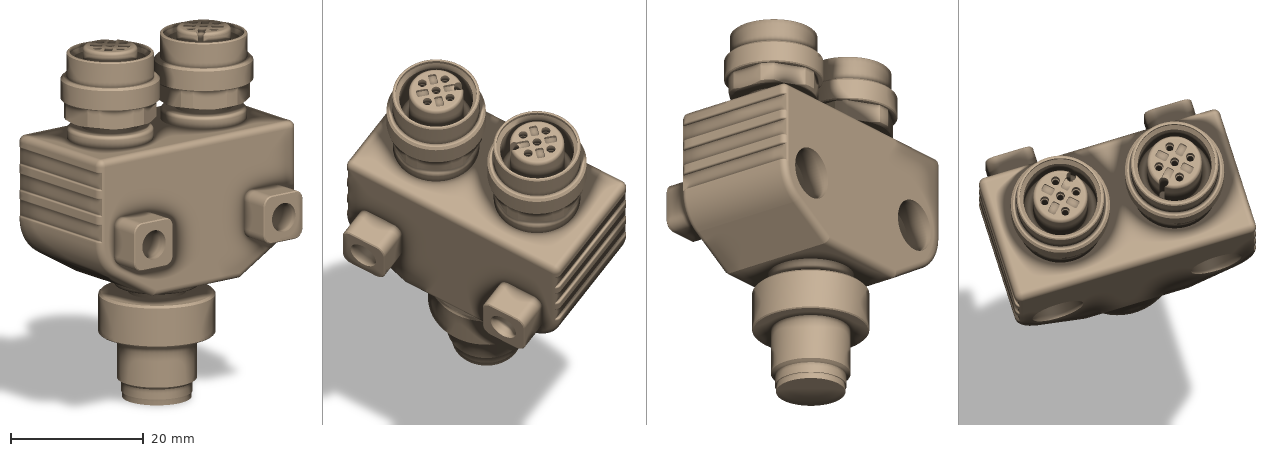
import cadquery as cq
import math

TOLERANCE = 0.005


HOUSING_DEPTH = 20.05
HOUSING_WIDTH = 38.0
HOUSING_BOTTOM = 19.1
HOUSING_TOP = 42.0
HOUSING_FILLET = 1.0
SLOPE_ANGLE = math.radians(30)

MOUNT_Y = 12.5
MOUNT_Z = 29.0
MOUNT_HOLE_RADIUS = 2.25
RECESS_RADIUS = 4.0
RECESS_DEPTH = 4.5
FOOT_SIZE = 7.5
FOOT_LENGTH = 4.95
FOOT_CORNER_RADIUS = 1.5
FOOT_END_CHAMFER = 0.15

GROOVE_COUNT = 3
GROOVE_PITCH = 4.05
GROOVE_HEIGHT = 2.5
GROOVE_DEPTH = 0.5
GROOVE_EDGE_RADIUS = 0.2
FIRST_GROOVE_Z = 38.75

COLLAR_RADIUS = 6.55
COLLAR_FILLET = 0.5
UPPER_COLLAR_TOP = 43.8
LOWER_COLLAR_BOTTOM = 17.55

SOCKET_Y = 9.0
NECK_RADIUS = 4.35
SOCKET_TOP = 56.3
SOCKET_RADIUS = 4.1
SOCKET_EDGE_FILLET = 0.5
CONTACT_RADIUS = 0.5
CONTACT_MOUTH_RADIUS = 0.7
CONTACT_MOUTH_DEPTH = 1.1
CONTACT_SPACING = 2.5
CONTACT_DEPTH = 5.65
POCKET_INNER = 1.2
POCKET_OUTER = 3.05
POCKET_WIDTH = 1.25
POCKET_DEPTH = 0.45
POCKET_CORNER_RADIUS = 0.3
KEYWAY_RADIUS = 0.75
KEYWAY_OFFSET = 3.5
KEYWAY_ANGLE = -45

NUT_BOTTOM = 45.0
NUT_TOP = 55.4
NUT_SLEEVE_RADIUS = 6.6
NUT_BAND_RADIUS = 7.5
NUT_BAND_BOTTOM = 48.0
NUT_BAND_TOP = 51.55
NUT_BAND_CHAMFER = 0.35
NUT_EDGE_CHAMFER = 0.15
NUT_BORE_RADIUS = 5.6
NUT_MOUTH_RADIUS = 6.15
NUT_MOUTH_DEPTH = 0.5
HEX_HALF_FLATS = 6.5
HEX_CORNER_RADIUS = 7.0
HEX_CHAMFER_HEIGHT = 0.3

SEAL_SECTION_RADIUS = (NUT_BORE_RADIUS - SOCKET_RADIUS) / 2
SEAL_RADIUS = (NUT_BORE_RADIUS + SOCKET_RADIUS) / 2

PLUG_HEAD_RADIUS = 5.25
PLUG_HEAD_HEIGHT = 0.95
PLUG_NUT_TOP = 16.45
PLUG_GRIP_RADIUS = 8.85
PLUG_GRIP_BOTTOM = 10.0
PLUG_GRIP_TOP_CHAMFER = 0.35
PLUG_GRIP_LOW_CHAMFER = 0.15
PLUG_THREAD_RADIUS = 6.0
PLUG_THREAD_BOTTOM = 3.0
PLUG_END_RADIUS = 5.4
PLUG_END_TOP = 2.55


def cylinder(radius, bottom, top, y=0.0):
    """Upright cylinder between two heights."""
    return cq.Workplane("XY", origin=(0, y, bottom)).circle(radius).extrude(top - bottom)


def turned(profile):
    """Solid turned about the Z axis from (radius, height) points."""
    return cq.Workplane("XZ").polyline(profile).close().revolve(360, (0, 0), (0, 1))



def housing_block():
    half_width = HOUSING_WIDTH / 2
    shoulder_radius = half_width - MOUNT_Y

    def on_shoulder(angle):
        return (
            MOUNT_Y + shoulder_radius * math.cos(angle),
            MOUNT_Z - shoulder_radius * math.sin(angle),
        )

    arc_angle = math.pi / 2 - SLOPE_ANGLE
    arc_end = on_shoulder(arc_angle)
    arc_middle = on_shoulder(arc_angle / 2)
    base_half_width = arc_end[0] - (arc_end[1] - HOUSING_BOTTOM) / math.tan(SLOPE_ANGLE)
    outline = (
        cq.Workplane("YZ", origin=(-HOUSING_DEPTH / 2, 0, 0))
        .moveTo(-half_width, HOUSING_TOP)
        .lineTo(half_width, HOUSING_TOP)
        .lineTo(half_width, MOUNT_Z)
        .threePointArc(arc_middle, arc_end)
        .lineTo(base_half_width, HOUSING_BOTTOM)
        .lineTo(-base_half_width, HOUSING_BOTTOM)
        .lineTo(-arc_end[0], arc_end[1])
        .threePointArc((-arc_middle[0], arc_middle[1]), (-half_width, MOUNT_Z))
        .close()
    )
    block = outline.extrude(HOUSING_DEPTH)
    return block.faces("<X or >X or >Z").edges().fillet(HOUSING_FILLET)


def cut_grip_grooves(block):
    """Cut the square grooves on both narrow sides, then round the edges of their mouths."""
    half_height = GROOVE_HEIGHT / 2
    floor_y = HOUSING_WIDTH / 2 - GROOVE_DEPTH
    for index in range(GROOVE_COUNT):
        z = FIRST_GROOVE_Z - index * GROOVE_PITCH
        for side in (-1, 1):
            cutter = cq.Workplane("XY").box(HOUSING_DEPTH, 2 * GROOVE_DEPTH, GROOVE_HEIGHT)
            block = block.cut(cutter.translate((0, side * HOUSING_WIDTH / 2, z)))
    for index in range(GROOVE_COUNT):
        z = FIRST_GROOVE_Z - index * GROOVE_PITCH
        for wall_z in (z + half_height, z - half_height):
            mouth_edges = [
                edge for edge in block.edges("#Z").vals()
                if abs(edge.Center().z - wall_z) < TOLERANCE
                and abs(edge.Center().y) > floor_y + TOLERANCE
            ]
            block = block.newObject(mouth_edges).fillet(GROOVE_EDGE_RADIUS)
    return block


def mounting_foot(y):
    back = HOUSING_DEPTH / 2
    foot = (
        cq.Workplane("YZ", origin=(back, y, MOUNT_Z))
        .rect(FOOT_SIZE, FOOT_SIZE)
        .extrude(FOOT_LENGTH)
        .edges("|X")
        .fillet(FOOT_CORNER_RADIUS)
    )
    return foot.faces(">X").edges().chamfer(FOOT_END_CHAMFER)


def mounting_hole(y):
    """Cutter for a through hole with a screw-head recess on the -X face."""
    front = cq.Workplane("YZ", origin=(-HOUSING_DEPTH / 2, y, MOUNT_Z))
    hole = front.circle(MOUNT_HOLE_RADIUS).extrude(HOUSING_DEPTH + FOOT_LENGTH)
    return hole.union(front.circle(RECESS_RADIUS).extrude(RECESS_DEPTH))


def make_housing():
    body = cut_grip_grooves(housing_block())
    for side in (-1, 1):
        body = body.union(mounting_foot(side * MOUNT_Y))
        collar = cylinder(COLLAR_RADIUS, HOUSING_TOP, UPPER_COLLAR_TOP, side * SOCKET_Y)
        body = body.union(collar.faces(">Z").edges().fillet(COLLAR_FILLET))
    lower_collar = cylinder(COLLAR_RADIUS, LOWER_COLLAR_BOTTOM, HOUSING_BOTTOM)
    body = body.union(lower_collar.faces("<Z").edges().fillet(COLLAR_FILLET))
    for side in (-1, 1):
        body = body.cut(mounting_hole(side * MOUNT_Y))
    return body



def contact_hole(x, y):
    """Cutter for a contact hole with a wider mouth."""
    profile = [
        (0, SOCKET_TOP - CONTACT_DEPTH),
        (CONTACT_RADIUS, SOCKET_TOP - CONTACT_DEPTH),
        (CONTACT_RADIUS, SOCKET_TOP - CONTACT_MOUTH_DEPTH),
        (CONTACT_MOUTH_RADIUS, SOCKET_TOP - CONTACT_MOUTH_DEPTH),
        (CONTACT_MOUTH_RADIUS, SOCKET_TOP),
        (0, SOCKET_TOP),
    ]
    return turned(profile).translate((x, y, 0))


def make_socket():
    body = cylinder(SOCKET_RADIUS, NUT_BAND_BOTTOM, SOCKET_TOP)
    body = body.faces(">Z").edges().fillet(SOCKET_EDGE_FILLET)
    body = body.union(cylinder(NECK_RADIUS, UPPER_COLLAR_TOP, NUT_BAND_BOTTOM))

    spots = [
        (0, 0),
        (CONTACT_SPACING, 0),
        (-CONTACT_SPACING, 0),
        (0, CONTACT_SPACING),
        (0, -CONTACT_SPACING),
    ]
    for x, y in spots:
        body = body.cut(contact_hole(x, y))

    for quarter in range(4):
        angle = KEYWAY_ANGLE + 90 * quarter
        pocket = (
            cq.Workplane("XY", origin=(0, 0, SOCKET_TOP - POCKET_DEPTH))
            .center((POCKET_INNER + POCKET_OUTER) / 2, 0)
            .rect(POCKET_OUTER - POCKET_INNER, POCKET_WIDTH)
            .extrude(POCKET_DEPTH)
            .edges("|Z")
            .fillet(POCKET_CORNER_RADIUS)
        )
        body = body.cut(pocket.rotate((0, 0, 0), (0, 0, 1), angle))

    keyway = (
        cq.Workplane("XY", origin=(0, 0, NUT_BAND_BOTTOM))
        .center(KEYWAY_OFFSET, 0)
        .circle(KEYWAY_RADIUS)
        .extrude(SOCKET_TOP - NUT_BAND_BOTTOM)
    )
    return body.cut(keyway.rotate((0, 0, 0), (0, 0, 1), KEYWAY_ANGLE))


def make_socket_nut():
    hexagon = (
        cq.Workplane("XY", origin=(0, 0, NUT_BOTTOM))
        .polygon(6, 2 * HEX_HALF_FLATS, circumscribed=True)
        .extrude(NUT_BAND_BOTTOM - NUT_BOTTOM)
        .rotate((0, 0, 0), (0, 0, 1), 30)
    )
    round_limit = turned([
        (0, NUT_BOTTOM),
        (HEX_HALF_FLATS, NUT_BOTTOM),
        (HEX_CORNER_RADIUS, NUT_BOTTOM + HEX_CHAMFER_HEIGHT),
        (HEX_CORNER_RADIUS, NUT_BAND_BOTTOM),
        (0, NUT_BAND_BOTTOM),
    ])
    hexagon = hexagon.intersect(round_limit)

    band = cylinder(NUT_BAND_RADIUS, NUT_BAND_BOTTOM, NUT_BAND_TOP)
    band = band.faces(">Z").edges().chamfer(NUT_BAND_CHAMFER)
    band = band.faces("<Z").edges().chamfer(NUT_EDGE_CHAMFER)
    sleeve = cylinder(NUT_SLEEVE_RADIUS, NUT_BAND_BOTTOM, NUT_TOP)
    sleeve = sleeve.faces(">Z").edges().chamfer(NUT_EDGE_CHAMFER)

    bore = cylinder(NUT_BORE_RADIUS, NUT_BAND_BOTTOM, NUT_TOP)
    cone_top = NUT_TOP - NUT_MOUTH_DEPTH
    cone_bottom = cone_top - (NUT_MOUTH_RADIUS - NUT_BORE_RADIUS)
    mouth = turned([
        (0, cone_bottom),
        (NUT_BORE_RADIUS, cone_bottom),
        (NUT_MOUTH_RADIUS, cone_top),
        (NUT_MOUTH_RADIUS, NUT_TOP),
        (0, NUT_TOP),
    ])
    neck_hole = cylinder(NECK_RADIUS, NUT_BOTTOM, NUT_BAND_BOTTOM)
    return hexagon.union(band).union(sleeve).cut(bore).cut(mouth).cut(neck_hole)


def make_seal():
    return (
        cq.Workplane("XZ")
        .center(SEAL_RADIUS, NUT_BAND_BOTTOM + SEAL_SECTION_RADIUS)
        .circle(SEAL_SECTION_RADIUS)
        .revolve(360, (-SEAL_RADIUS, 0), (-SEAL_RADIUS, 1))
    )



def make_plug():
    head = cylinder(PLUG_HEAD_RADIUS, 0, PLUG_HEAD_HEIGHT)
    return head.union(cylinder(NECK_RADIUS, PLUG_HEAD_HEIGHT, LOWER_COLLAR_BOTTOM))


def make_plug_nut():
    return turned([
        (NECK_RADIUS, PLUG_HEAD_HEIGHT),
        (PLUG_END_RADIUS, PLUG_HEAD_HEIGHT),
        (PLUG_END_RADIUS, PLUG_END_TOP),
        (PLUG_THREAD_RADIUS, PLUG_THREAD_BOTTOM),
        (PLUG_THREAD_RADIUS, PLUG_GRIP_BOTTOM),
        (PLUG_GRIP_RADIUS - PLUG_GRIP_LOW_CHAMFER, PLUG_GRIP_BOTTOM),
        (PLUG_GRIP_RADIUS, PLUG_GRIP_BOTTOM + PLUG_GRIP_LOW_CHAMFER),
        (PLUG_GRIP_RADIUS, PLUG_NUT_TOP - PLUG_GRIP_TOP_CHAMFER),
        (PLUG_GRIP_RADIUS - PLUG_GRIP_TOP_CHAMFER, PLUG_NUT_TOP),
        (NECK_RADIUS, PLUG_NUT_TOP),
    ])



housing = make_housing()
plug = make_plug()
plug_nut = make_plug_nut()

sockets = []
socket_nuts = []
seals = []
for socket_y, turn in ((SOCKET_Y, 0), (-SOCKET_Y, 180)):
    place = cq.Location(cq.Vector(0, socket_y, 0), cq.Vector(0, 0, 1), turn)
    sockets.append(make_socket().val().moved(place))
    socket_nuts.append(make_socket_nut().val().moved(place))
    seals.append(make_seal().val().moved(place))

result = cq.Compound.makeCompound([
    housing.val(),
    plug.val(),
    plug_nut.val(),
    *sockets,
    *socket_nuts,
    *seals,
])